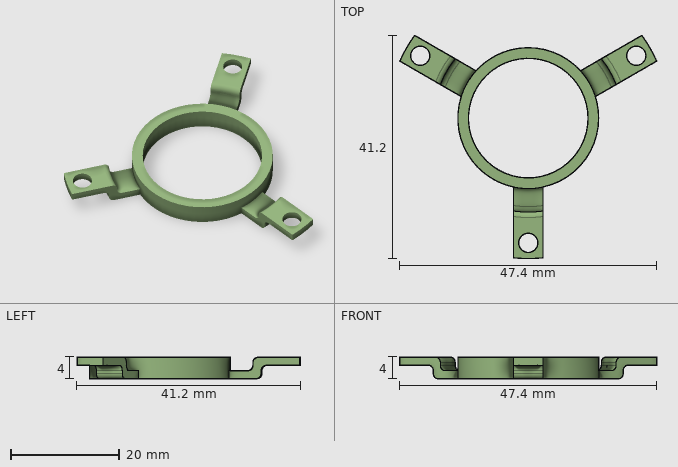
import cadquery as cq

ring_outer_radius = 13.0
ring_inner_radius = 11.0
height = 4.0

arm_count = 3
first_arm_angle = 30.0
arm_width = 5.5
arm_thickness = 1.5
arm_tip_radius = 25.925
riser_inner_radius = 17.35
riser_outer_radius = riser_inner_radius + arm_thickness
bend_radius = 1.0

hole_diameter = 3.5
hole_distance = 23.0

arm_root_radius = (ring_inner_radius + ring_outer_radius) / 2


def make_ring():
    return (
        cq.Workplane("XY")
        .circle(ring_outer_radius)
        .circle(ring_inner_radius)
        .extrude(height)
    )


def make_stepped_disc():
    """Revolve the stepped arm section about Z, rounding all four bends."""
    underside = height - arm_thickness
    section = (
        cq.Workplane("XZ")
        .moveTo(arm_root_radius, 0)
        .lineTo(riser_outer_radius - bend_radius, 0)
        .radiusArc((riser_outer_radius, bend_radius), -bend_radius)
        .lineTo(riser_outer_radius, underside - bend_radius)
        .radiusArc((riser_outer_radius + bend_radius, underside), bend_radius)
        .lineTo(arm_tip_radius, underside)
        .lineTo(arm_tip_radius, height)
        .lineTo(riser_inner_radius + bend_radius, height)
        .radiusArc((riser_inner_radius, height - bend_radius), -bend_radius)
        .lineTo(riser_inner_radius, arm_thickness + bend_radius)
        .radiusArc((riser_inner_radius - bend_radius, arm_thickness), bend_radius)
        .lineTo(arm_root_radius, arm_thickness)
        .close()
    )
    return section.revolve(360, (0, 0, 0), (0, 1, 0))


def make_arm():
    """Trim the stepped disc to one straight-sided arm along +X and drill it."""
    strip = cq.Workplane("XY").box(
        arm_tip_radius + bend_radius, arm_width, height, centered=(False, True, False)
    )
    hole = (
        cq.Workplane("XY")
        .center(hole_distance, 0)
        .circle(hole_diameter / 2)
        .extrude(height)
    )
    return make_stepped_disc().intersect(strip).cut(hole)


arm = make_arm()
result = make_ring()
for index in range(arm_count):
    arm_angle = first_arm_angle + index * 360 / arm_count
    result = result.union(arm.rotate((0, 0, 0), (0, 0, 1), arm_angle))